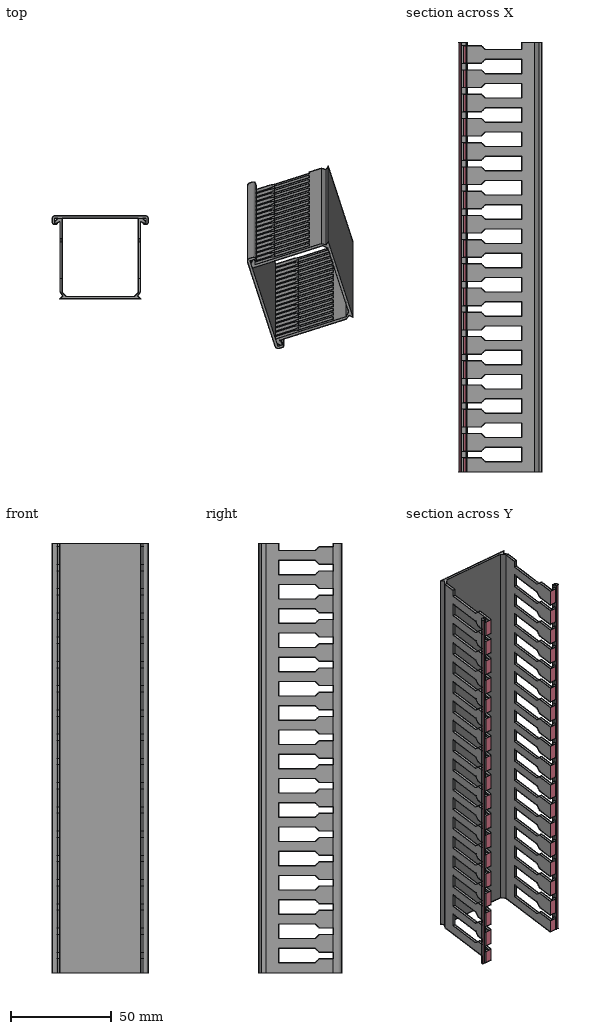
import cadquery as cq

length = 212.8
total_width = 47.7
total_depth = 41.3

channel_width = 40.0
foot_width = 40.2
wall = 1.3
notch_top = 3.6
notch_height = 1.5
notch_depth = 1.38
inner_chamfer = 2.0
flange_drop = 2.3
flange_root = 1.7
flange_shoulder = 1.0

cover_thickness = 1.38
cover_radius = 1.7
hook_wall = 1.3
hook_floor = 0.6
hook_length = 2.5
lip_radius = 0.5
hook_radius = 1.0

slot_count = 18
first_slot_height = 8.7
neck_width = 3.2
slot_width = 7.0
slot_bottom = 10.0
shoulder_start = 28.0
shoulder_end = 30.0

front_y = -total_depth / 2
back_y = total_depth / 2
channel_top_y = back_y - cover_thickness
tip_y = channel_top_y - flange_drop
hook_bottom_y = tip_y - hook_floor
root_y = channel_top_y - flange_root
mouth_x = total_width / 2 - hook_length
pocket_x = total_width / 2 - hook_wall
outer_x = channel_width / 2
inner_x = outer_x - wall
slot_pitch = (length - first_slot_height) / (slot_count - 1)


def extrude_symmetric(right_half):
    """Full-length bar whose section is the given half and its mirror image about X = 0."""
    left_half = [(-x, y) for x, y in reversed(right_half)]
    return cq.Workplane("XY").polyline(right_half + left_half).close().extrude(length)


def pocket_floor():
    """Underside and tip of the right flange, which rest in the pocket of the cover's hook."""
    return [
        (outer_x, root_y),
        (mouth_x, tip_y),
        (pocket_x, tip_y),
    ]


def make_solid_channel():
    """Channel without its hollow and slots."""
    notched_side = [
        (foot_width / 2, front_y),
        (outer_x - notch_depth, front_y + notch_height),
        (outer_x, front_y + notch_top),
    ]
    shoulder_x = outer_x + flange_shoulder
    flange_top = [
        (pocket_x, channel_top_y - (pocket_x - shoulder_x)),
        (shoulder_x, channel_top_y),
    ]
    return extrude_symmetric(notched_side + pocket_floor() + flange_top)


def make_hollow():
    """Space between the side walls, with chamfered floor corners."""
    floor_y = front_y + wall
    return extrude_symmetric([
        (inner_x - inner_chamfer, floor_y),
        (inner_x, floor_y + inner_chamfer),
        (inner_x, channel_top_y),
    ])


def make_slot_cutter(height):
    """Slot cutter that crosses both side walls, centred on the given height."""
    window = slot_width / 2
    neck = neck_width / 2
    lower_half = [
        (front_y + slot_bottom, -window),
        (front_y + shoulder_start, -window),
        (front_y + shoulder_end, -neck),
        (channel_top_y, -neck),
    ]
    upper_half = [(y, -z) for y, z in reversed(lower_half)]
    return (
        cq.Workplane("YZ").polyline(lower_half + upper_half).close()
        .extrude(total_width / 2, both=True)
        .translate((0, 0, height))
    )


def make_channel():
    """Channel with its side walls slotted into fingers."""
    body = make_solid_channel().cut(make_hollow())
    for index in range(slot_count):
        body = body.cut(make_slot_cutter(first_slot_height + index * slot_pitch))
    return body


def make_pockets():
    """Spaces inside both hooks, joined by the opening between the walls."""
    return extrude_symmetric(pocket_floor() + [(pocket_x, channel_top_y)])


def make_cover():
    """Cover plate with a rounded hook along each side."""
    edge_x = total_width / 2
    body = extrude_symmetric([
        (mouth_x, channel_top_y),
        (mouth_x, hook_bottom_y),
        (edge_x, hook_bottom_y),
        (edge_x, back_y),
    ])
    body = body.edges("|Z and >Y").fillet(cover_radius)
    body = body.edges("|Z and <Y").edges("not(<X or >X)").fillet(lip_radius)
    body = body.edges("|Z and <Y").edges("<X or >X").fillet(hook_radius)
    return body.cut(make_pockets())


channel = make_channel()
cover = make_cover()
result = cq.Compound.makeCompound([channel.val(), cover.val()])